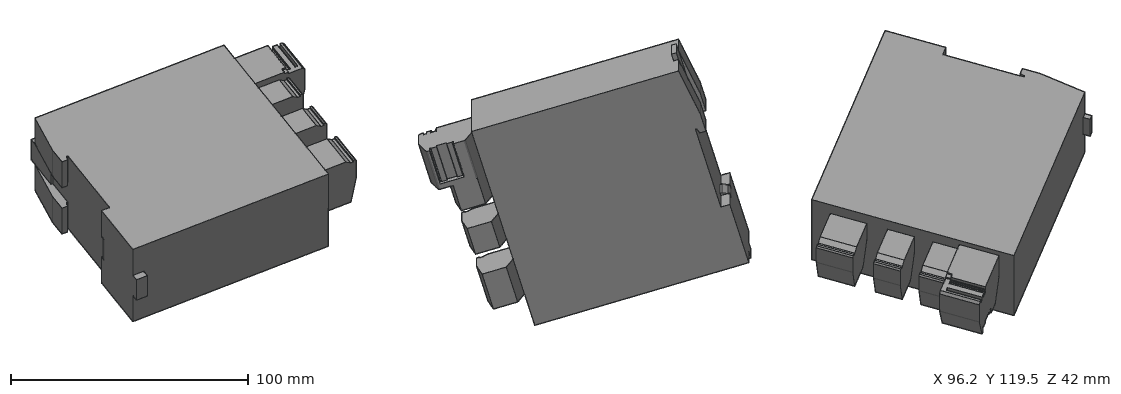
import cadquery as cq

body_width = 90.0
body_thickness = 42.0
body_back = 94.2
half_width = body_width / 2
left_side = -half_width

floor_y = 4.0
hook_tip = 28.9
hook_flat = 20.9
ramp_rise = 3.1
lip_height = 2.7
undercut_width = 2.0
undercut_rise = 0.6
wall_x = 17.9

slider_overhang = 3.1
slider_thickness = 11.8
slider_back = 5.3
slider_step = 14.0
catch_nose = 1.1
catch_nose_y = 3.1
catch_edge_y = 0.8
catch_run = 2.0
catch_mid_run = 0.8
catch_mid_y = 0.2

main_plug_left = -38.4
main_plug_right = -20.7
main_plug_back = 119.5
main_plug_top = 18.2
plug_bottom = -9.5
taper_start = 3.5
main_taper_run = 3.5
root_bottom_y = 99.1
bottom_fillet = 0.5

ledge_y = 111.6
ledge_drop = 1.7
ledge_z = main_plug_top - ledge_drop
ledge_chamfer = 1.1
groove_end = -23.0
groove_depth = 2.2
narrow_groove = (116.0, 117.3)
slot_neck = (112.1, 113.8)
slot_base = (111.6, 114.2)
slot_neck_depth = 1.1
corner_notch_length = 1.8
corner_notch_depth = 0.8

pocket_front = 104.2
pocket_back = 114.7
pocket_height = 2.6
pocket_relief_width = 0.6
pocket_relief_height = 3.1
pocket_center_front = 107.2
pocket_center_back = 111.6
pocket_center_height = 4.0

small_plug_spans = [(main_plug_right, -9.0), (-0.7, 11.2), (20.4, 36.7)]
small_plug_back = 112.2
small_plug_top = 14.9
small_taper_run = 2.5
slope_start_y = 107.2
slope_end_y = 109.5
slope_end_z = 13.4
ridge_front_y = 110.8
ridge_back_y = 111.6
ridge_z = 14.2
back_edge_z = 13.5

button_right = 12.9
button_size = 5.3
button_center_z = -5.5
button_height = 0.8
button_chamfer = 1.3
button_fillet = 1.8


def block(x_span, y_span, z_span):
    """Box between the given limits."""
    corner = (x_span[0], y_span[0], z_span[0])
    return cq.Workplane("XY").box(
        x_span[1] - x_span[0], y_span[1] - y_span[0], z_span[1] - z_span[0], centered=False
    ).translate(corner)


def extrude_x(points, x_span):
    """Closed (y, z) outline extruded between two X positions."""
    profile = cq.Workplane("YZ", origin=(x_span[0], 0, 0)).polyline(points).close()
    return profile.extrude(x_span[1] - x_span[0])


def make_body():
    """Housing with both rail jaws; the left jaw is ramped and undercut."""
    tip_x = left_side + hook_tip
    undercut_x = tip_x - undercut_width
    outline = [
        (left_side, body_back),
        (left_side, ramp_rise),
        (left_side + hook_flat, 0),
        (tip_x, 0),
        (tip_x, lip_height),
        (undercut_x, lip_height + undercut_rise),
        (undercut_x, floor_y),
        (wall_x, floor_y),
        (wall_x, 0),
        (half_width, 0),
        (half_width, body_back),
    ]
    profile = cq.Workplane("XY").polyline(outline).close()
    return profile.extrude(body_thickness / 2, both=True)


def add_slider(body):
    """Cut the slider channel and add the left plate and the right catch."""
    half = slider_thickness / 2
    channel = block((left_side, half_width), (0, floor_y), (-half, half))
    outer = half_width + slider_overhang
    plate = block((-outer, left_side + slider_step), (ramp_rise, slider_back), (-half, half))
    catch = (
        cq.Workplane("XY")
        .moveTo(wall_x - catch_nose, slider_back)
        .lineTo(wall_x - catch_nose, catch_nose_y)
        .lineTo(wall_x, catch_edge_y)
        .threePointArc((wall_x + catch_mid_run, catch_mid_y), (wall_x + catch_run, 0))
        .lineTo(outer, 0)
        .lineTo(outer, slider_back)
        .close()
        .extrude(half, both=True)
    )
    return body.cut(channel).union(plate).union(catch)


def make_main_plug():
    """Large plug with a grooved ledge on top and a stepped pocket underneath."""
    span = (main_plug_left, main_plug_right)
    outline = [
        (body_back, main_plug_top),
        (ledge_y, main_plug_top),
        (ledge_y, ledge_z),
        (main_plug_back, ledge_z),
        (main_plug_back, taper_start),
        (main_plug_back - main_taper_run, plug_bottom),
        (root_bottom_y, plug_bottom),
        (body_back, taper_start),
    ]
    plug = extrude_x(outline, span)
    plug = plug.faces("<Z").edges("|X").fillet(bottom_fillet)
    plug = plug.edges("|X and >Y").edges(">Z").chamfer(ledge_chamfer)

    cut_span = (main_plug_left, groove_end)
    groove_floor = ledge_z - groove_depth
    plug = plug.cut(block(cut_span, narrow_groove, (groove_floor, ledge_z)))
    plug = plug.cut(block(cut_span, slot_neck, (groove_floor, ledge_z)))
    plug = plug.cut(block(cut_span, slot_base, (groove_floor, ledge_z - slot_neck_depth)))

    notch_y = (ledge_y - corner_notch_length, ledge_y)
    notch_z = (main_plug_top - corner_notch_depth, main_plug_top)
    plug = plug.cut(block((groove_end, main_plug_right), notch_y, notch_z))

    pocket_steps = [
        (pocket_front, pocket_back, pocket_height),
        (pocket_front, pocket_front + pocket_relief_width, pocket_relief_height),
        (pocket_back - pocket_relief_width, pocket_back, pocket_relief_height),
        (pocket_center_front, pocket_center_back, pocket_center_height),
    ]
    for front, back, height in pocket_steps:
        plug = plug.cut(block(cut_span, (front, back), (plug_bottom, plug_bottom + height)))
    return plug


def make_small_plug(span):
    """Small plug whose top slopes down to a ridge along the back edge."""
    outline = [
        (body_back, small_plug_top),
        (slope_start_y, small_plug_top),
        (slope_end_y, slope_end_z),
        (ridge_front_y, slope_end_z),
        (ridge_front_y, ridge_z),
        (ridge_back_y, ridge_z),
        (small_plug_back, back_edge_z),
        (small_plug_back, taper_start),
        (small_plug_back - small_taper_run, plug_bottom),
        (root_bottom_y, plug_bottom),
        (body_back, taper_start),
    ]
    return extrude_x(outline, span)


def make_button():
    """Low button with chamfered upper and rounded lower corners."""
    center_x = button_right - button_size / 2
    button = (
        cq.Workplane("XY")
        .box(button_size, button_height, button_size)
        .translate((center_x, body_back + button_height / 2, button_center_z))
    )
    button = button.faces(">Z").edges("|Y").chamfer(button_chamfer)
    return button.faces("<Z").edges("|Y").fillet(button_fillet)


result = add_slider(make_body()).union(make_main_plug())
for plug_span in small_plug_spans:
    result = result.union(make_small_plug(plug_span))
result = result.union(make_button())